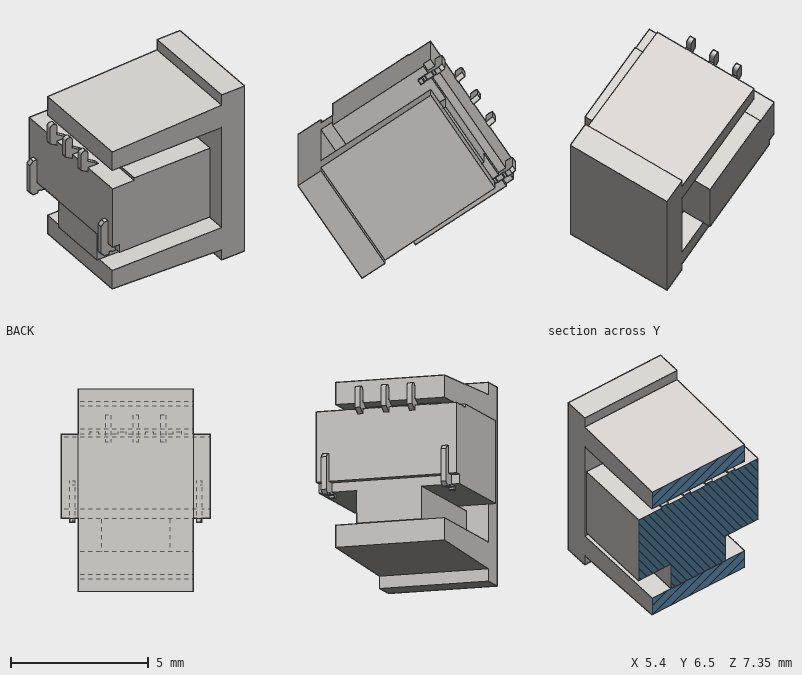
import cadquery as cq
import math


BRACKET_WIDTH = 4.18
PLATE_HEIGHT = 7.35
PLATE_THICKNESS = 1.01
PLATE_FRONT_Y = 5.19
ARM_TIP_Y = 0.4
ARM_GAP = 4.455
ARM_ROOT_Z = 3.22
ARM_TIP_Z = 3.05

HEADER_WIDTH = 5.4
HEADER_BACK_Y = 4.27
HEADER_BOTTOM_Z = -1.02
HEADER_TOP_Z = 2.035
LEDGE_TOP_Z = 1.925
LEDGE_DEPTH = 0.95
RECESS_TOP_Z = -0.675
RECESS_DEPTH = 0.31

PAD_WIDTH = 3.31
PAD_FRONT_Y = 1.27
NOTCHED_STEP_TOP_Z = 2.11
NOTCH_WIDTH = 0.7

BLOCK_WIDTH = 2.49

STRIP_WIDTH = 0.2
STRIP_THICKNESS = 0.3

LEAD_COUNT = 3
LEAD_PITCH = 1.0
LEAD_TOP_Z = 2.73
LEAD_BEND_Z = 2.22
LEAD_SLOPE_ANGLE = 32.6
LEAD_HEEL_Z = 1.925
LEAD_FOOT_Z = 1.74

TAB_OFFSET_X = 2.3
TAB_TOP_Z = 0.33
TAB_BOTTOM_Z = -1.17
TAB_BACK_Y = 0.75
TAB_CHAMFER = 0.15
TAB_ARCH_Z = -1.11
TAB_GROOVE_Z = -1.08
TAB_ARCH_CENTER_Y = 0.315
ARCH_FOOT_OFFSET = 0.28
GROOVE_OUTER_OFFSET = 0.24
GROOVE_INNER_OFFSET = 0.16
ARCH_FLAT_OFFSET = 0.13

GAP_HALF = ARM_GAP / 2
PLATE_BACK_Y = PLATE_FRONT_Y + PLATE_THICKNESS
LEAD_XS = [(i - (LEAD_COUNT - 1) / 2) * LEAD_PITCH for i in range(LEAD_COUNT)]


def box(width, y_range, z_range, center_x=0.0):
    """A box centred on center_x that fills the given Y and Z ranges."""
    depth = y_range[1] - y_range[0]
    height = z_range[1] - z_range[0]
    corner = (center_x - width / 2, y_range[0], z_range[0])
    return cq.Workplane("XY").box(width, depth, height, centered=False).translate(corner)


def side_profile(points, width, center_x=0.0):
    """A closed (Y, Z) outline extruded along X, centred on center_x."""
    profile = cq.Workplane("YZ", origin=(center_x, 0, 0)).polyline(points).close()
    return profile.extrude(width / 2, both=True)


def make_bracket():
    """A plate with an arm at the top and its mirror image at the bottom."""
    plate_top = PLATE_HEIGHT / 2
    upper = [
        (PLATE_BACK_Y, plate_top),
        (PLATE_FRONT_Y, plate_top),
        (PLATE_FRONT_Y, ARM_ROOT_Z),
        (ARM_TIP_Y, ARM_TIP_Z),
        (ARM_TIP_Y, GAP_HALF),
        (PLATE_FRONT_Y, GAP_HALF),
    ]
    lower = [(y, -z) for y, z in reversed(upper)]
    return side_profile(upper + lower, BRACKET_WIDTH)


def make_header_housing():
    """The stepped housing with its notched top pad and the block that fills in down to the lower arm."""
    outline = [
        (0, LEDGE_TOP_Z),
        (LEDGE_DEPTH, LEDGE_TOP_Z),
        (LEDGE_DEPTH, HEADER_TOP_Z),
        (HEADER_BACK_Y, HEADER_TOP_Z),
        (HEADER_BACK_Y, HEADER_BOTTOM_Z),
        (RECESS_DEPTH, HEADER_BOTTOM_Z),
        (RECESS_DEPTH, RECESS_TOP_Z),
        (0, RECESS_TOP_Z),
    ]
    header = side_profile(outline, HEADER_WIDTH)
    pad = box(PAD_WIDTH, (PAD_FRONT_Y, HEADER_BACK_Y), (HEADER_TOP_Z, GAP_HALF))
    step_y = (LEDGE_DEPTH, PAD_FRONT_Y)
    step_z = (HEADER_TOP_Z, NOTCHED_STEP_TOP_Z)
    step = box(PAD_WIDTH, step_y, step_z)
    for x in LEAD_XS:
        step = step.cut(box(NOTCH_WIDTH, step_y, step_z, x))
    block = box(BLOCK_WIDTH, (RECESS_DEPTH, PLATE_FRONT_Y), (-GAP_HALF, HEADER_BOTTOM_Z))
    return header.union(pad).union(step).union(block)


def make_lead(x):
    """A round-ended signal lead that bends back into the front top edge of the housing."""
    round_radius = STRIP_THICKNESS / 2
    shoulder_z = LEAD_TOP_Z - round_radius
    slope_end_y = (LEAD_BEND_Z - LEDGE_TOP_Z) / math.tan(math.radians(LEAD_SLOPE_ANGLE))
    return (
        cq.Workplane("YZ", origin=(x, 0, 0))
        .moveTo(0, LEAD_FOOT_Z)
        .lineTo(-STRIP_THICKNESS, LEAD_HEEL_Z)
        .lineTo(-STRIP_THICKNESS, shoulder_z)
        .threePointArc((-round_radius, LEAD_TOP_Z), (0, shoulder_z))
        .lineTo(0, LEAD_BEND_Z)
        .lineTo(slope_end_y, LEDGE_TOP_Z)
        .lineTo(0, LEDGE_TOP_Z)
        .close()
        .extrude(STRIP_WIDTH / 2, both=True)
    )


def make_tab(x):
    """A solder tab wrapped around the front bottom edge, with an arched underside between two feet."""
    arch_half = [
        (ARCH_FOOT_OFFSET, TAB_BOTTOM_Z),
        (GROOVE_OUTER_OFFSET, TAB_GROOVE_Z),
        (GROOVE_INNER_OFFSET, TAB_GROOVE_Z),
        (ARCH_FLAT_OFFSET, TAB_ARCH_Z),
    ]
    arch = [(TAB_ARCH_CENTER_Y - d, z) for d, z in arch_half]
    arch += [(TAB_ARCH_CENTER_Y + d, z) for d, z in reversed(arch_half)]
    outline = [
        (0, TAB_TOP_Z),
        (TAB_CHAMFER - STRIP_THICKNESS, TAB_TOP_Z),
        (-STRIP_THICKNESS, TAB_TOP_Z - TAB_CHAMFER),
        (-STRIP_THICKNESS, TAB_BOTTOM_Z + TAB_CHAMFER),
        (TAB_CHAMFER - STRIP_THICKNESS, TAB_BOTTOM_Z),
        *arch,
        (TAB_BACK_Y, TAB_BOTTOM_Z),
        (TAB_BACK_Y, HEADER_BOTTOM_Z),
        (RECESS_DEPTH, HEADER_BOTTOM_Z),
        (RECESS_DEPTH, RECESS_TOP_Z),
        (0, RECESS_TOP_Z),
    ]
    return side_profile(outline, STRIP_WIDTH, x)


def make_header():
    """The housing with its signal leads and solder tabs as one solid."""
    header = make_header_housing()
    for x in LEAD_XS:
        header = header.union(make_lead(x))
    for x in (-TAB_OFFSET_X, TAB_OFFSET_X):
        header = header.union(make_tab(x))
    return header


bracket = make_bracket()
header = make_header()

result = cq.Compound.makeCompound([bracket.val(), header.val()])